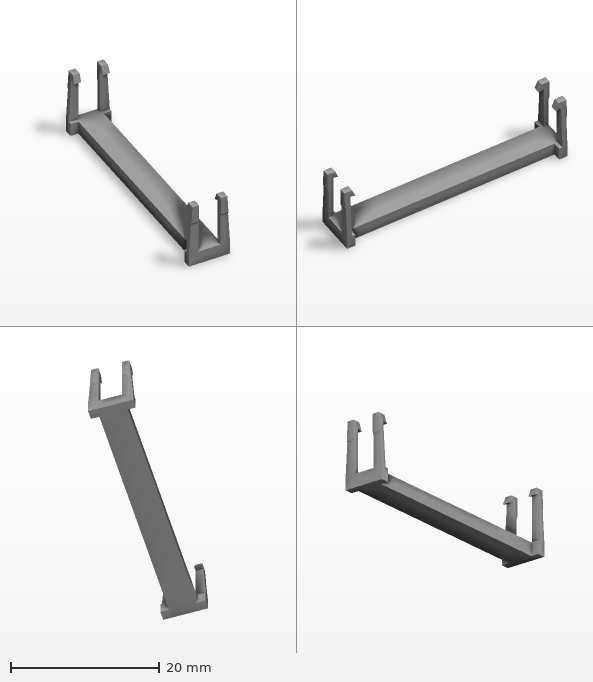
import cadquery as cq

length = 35.25
width = 6.3
height = 9.9

base_height = 2.0
plate_width = 3.9
foot_length = 1.3

lip = 0.15
lip_top_depth = 2.68
lip_bottom_depth = 3.05
arm_inner = 0.9
arm_gap = 3.3
arm_top_width = 5.35

hook_flat = 1.25
hook_reach = 1.73
hook_tip_depth = 1.2
hook_root_depth = 0.95

body_length = length - 2 * lip
end_x = -length / 2
foot_x = -body_length / 2


def make_arm_pair():
    """Two hooked arms at the -X end, tapering in width towards the top."""
    side_profile = (
        cq.Workplane("XZ")
        .polyline([
            (foot_x, 0),
            (foot_x, height - lip_bottom_depth),
            (end_x, height - lip_top_depth),
            (end_x, height),
            (end_x + hook_flat, height),
            (end_x + hook_reach, height - hook_tip_depth),
            (end_x + arm_inner, height - hook_root_depth),
            (end_x + arm_inner, 0),
        ])
        .close()
        .extrude(width / 2, both=True)
    )
    end_outline = (
        cq.Workplane("YZ")
        .polyline([
            (-width / 2, 0),
            (-width / 2, base_height),
            (-arm_top_width / 2, height),
            (-arm_gap / 2, height),
            (-arm_gap / 2, base_height),
            (arm_gap / 2, base_height),
            (arm_gap / 2, height),
            (arm_top_width / 2, height),
            (width / 2, base_height),
            (width / 2, 0),
        ])
        .close()
        .extrude(length, both=True)
    )
    return side_profile.intersect(end_outline)


def make_foot():
    """Wide block under the arm pair at the -X end."""
    return (
        cq.Workplane("XY")
        .box(foot_length, width, base_height, centered=(False, True, False))
        .translate((foot_x, 0, 0))
    )


plate = cq.Workplane("XY").box(
    body_length, plate_width, base_height, centered=(True, True, False)
)
clip_end = make_foot().union(make_arm_pair())

result = plate.union(clip_end).union(clip_end.mirror("YZ")).clean()